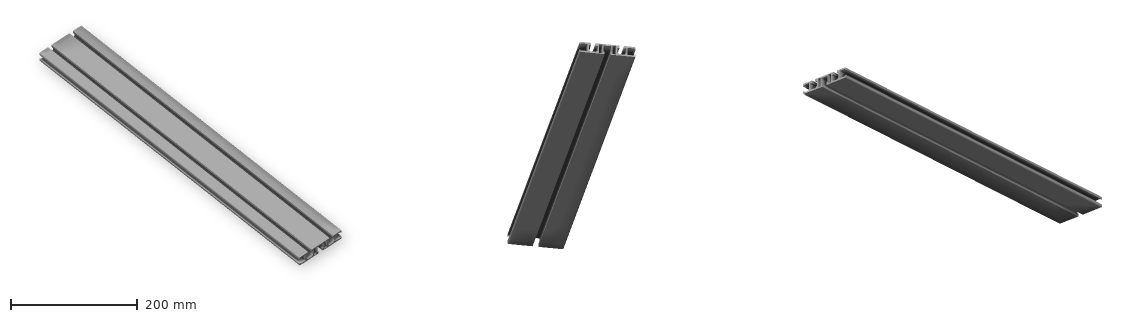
import cadquery as cq

length = 609.5
width = 90.0
height = 18.0
corner_radius = 2.0

web = 2.0
plate = 2.75
cavity_plate = 1.5
lip_depth = 4.6

slot_mouth = 9.0
side_slot_depth = 13.0
bottom_slot_width = 13.0

top_slot_spacing = 46.0
top_slot_mouth = 7.5
top_slot_width = 14.5
floor_chamfer = 3.0

half_height = height / 2
overcut = 6.0


def bar(y_min, y_max, z_min, z_max):
    """Full-length bar with the given cross-section limits."""
    return (
        cq.Workplane("XY")
        .box(length, y_max - y_min, z_max - z_min, centered=(True, False, False))
        .translate((0, y_min, z_min))
    )


def side_slot():
    """T-slot opening on the +Y side."""
    outer = width / 2
    half_chamber = half_height - plate
    chamber = bar(outer - side_slot_depth, outer - web, -half_chamber, half_chamber)
    mouth = bar(outer - side_slot_depth, outer + overcut, -slot_mouth / 2, slot_mouth / 2)
    return chamber.union(mouth)


def top_slot():
    """T-slot opening on the top at +Y, with chamfered lower corners."""
    center = top_slot_spacing / 2
    chamber = bar(
        center - top_slot_width / 2,
        center + top_slot_width / 2,
        plate - half_height,
        half_height - lip_depth,
    )
    chamber = chamber.faces("<Z").edges("|X").chamfer(floor_chamfer)
    mouth = bar(center - top_slot_mouth / 2, center + top_slot_mouth / 2, 0, half_height + overcut)
    return chamber.union(mouth)


def cavity():
    """Closed cavity between the bottom slot and the +Y top slot."""
    inner = bottom_slot_width / 2 + web
    outer = top_slot_spacing / 2 - top_slot_width / 2 - web
    return bar(inner, outer, cavity_plate - half_height, half_height - cavity_plate)


def bottom_slot():
    """T-slot opening in the middle of the bottom."""
    chamber = bar(
        -bottom_slot_width / 2,
        bottom_slot_width / 2,
        lip_depth - half_height,
        half_height - plate,
    )
    mouth = bar(-slot_mouth / 2, slot_mouth / 2, -half_height - overcut, 0)
    return chamber.union(mouth)


body = bar(-width / 2, width / 2, -half_height, half_height).edges("|X").fillet(corner_radius)
for cutter in (side_slot(), top_slot(), cavity()):
    body = body.cut(cutter).cut(cutter.mirror("XZ"))
result = body.cut(bottom_slot())